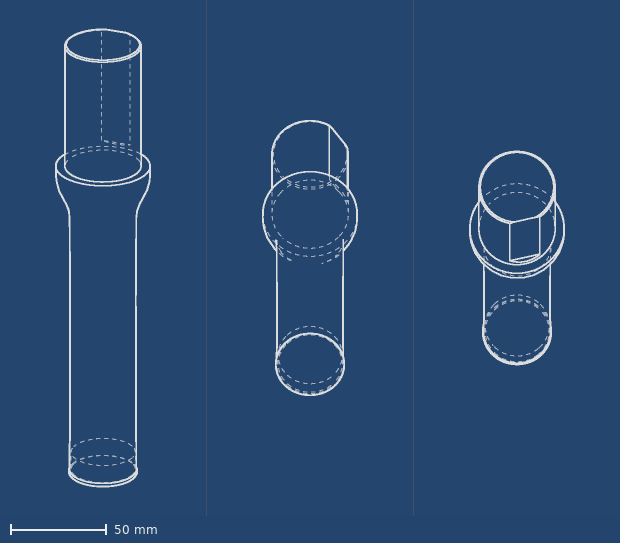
import cadquery as cq
import math

total_length = 247.99
shank_length = 70.0
collar_height = 5.0
collar_top_z = total_length - shank_length
collar_bottom_z = collar_top_z - collar_height
flare_bottom_z = 148.3
neck_top_z = 143.0
neck_bottom_z = 88.5
relief_bottom_z = 19.8
sleeve_top_z = 16.8
plug_top_z = 13.0

shank_radius = 39.99 / 2
collar_radius = 49.5 / 2
sleeve_radius = 35.1 / 2
relief_radius = 34.74 / 2

shank_chamfer = 0.8
flat_offset = 18.3
flat_bottom_z = 182.0

rim_radius = 36.0 / 2
nose_radius = 1.2
dome_height = 0.7
plug_radius = rim_radius - nose_radius
nose_center_z = dome_height + nose_radius
nose_top_z = nose_center_z + nose_radius


def revolve_about_z(profile):
    """Revolve an XZ profile a full turn about the Z axis."""
    return profile.close().revolve(360, (0, 0, 0), (0, 1, 0))


def nose_height(radius):
    """Z of the upper side of the rounded nose at a given distance from the axis."""
    return nose_center_z + math.sqrt(nose_radius**2 - (radius - plug_radius) ** 2)


def make_flat_cutter():
    """Block that removes the +Y side of the shank, ending in a 45 degree runout."""
    flat_depth = shank_radius - flat_offset
    return (
        cq.Workplane("YZ")
        .moveTo(flat_offset, flat_bottom_z + flat_depth)
        .lineTo(shank_radius, flat_bottom_z)
        .lineTo(collar_radius, flat_bottom_z)
        .lineTo(collar_radius, total_length)
        .lineTo(flat_offset, total_length)
        .close()
        .extrude(shank_radius, both=True)
    )


def make_holder():
    """Shank, collar, flared neck and body, with the plug recess at the lower end."""
    lip_mid_radius = (plug_radius + sleeve_radius) / 2
    lip_middle = (lip_mid_radius, nose_height(lip_mid_radius))
    lip_edge = (sleeve_radius, nose_height(sleeve_radius))
    profile = (
        cq.Workplane("XZ")
        .moveTo(0, plug_top_z)
        .lineTo(plug_radius, plug_top_z)
        .lineTo(plug_radius, nose_top_z)
        .threePointArc(lip_middle, lip_edge)
        .lineTo(sleeve_radius, sleeve_top_z)
        .lineTo(relief_radius, relief_bottom_z)
        .lineTo(relief_radius, neck_bottom_z)
        .lineTo(sleeve_radius, neck_top_z)
        .lineTo(sleeve_radius, flare_bottom_z)
        .spline([(collar_radius, collar_bottom_z)], tangents=[(0, 1), (0, 1)], includeCurrent=True)
        .lineTo(collar_radius, collar_top_z)
        .lineTo(shank_radius, collar_top_z)
        .lineTo(shank_radius, total_length - shank_chamfer)
        .lineTo(shank_radius - shank_chamfer, total_length)
        .lineTo(0, total_length)
    )
    return revolve_about_z(profile).cut(make_flat_cutter())


def make_head():
    """Cutting head: domed tip, rounded rim and the plug above it."""
    dome_sphere_radius = (plug_radius**2 + dome_height**2) / (2 * dome_height)
    dome_mid_radius = plug_radius / 2
    dome_mid_z = dome_sphere_radius - math.sqrt(dome_sphere_radius**2 - dome_mid_radius**2)
    profile = (
        cq.Workplane("XZ")
        .threePointArc((dome_mid_radius, dome_mid_z), (plug_radius, dome_height))
        .threePointArc((rim_radius, nose_center_z), (plug_radius, nose_top_z))
        .lineTo(plug_radius, plug_top_z)
        .lineTo(0, plug_top_z)
    )
    return revolve_about_z(profile)


holder = make_holder()
head = make_head()
result = cq.Compound.makeCompound([holder.val(), head.val()])